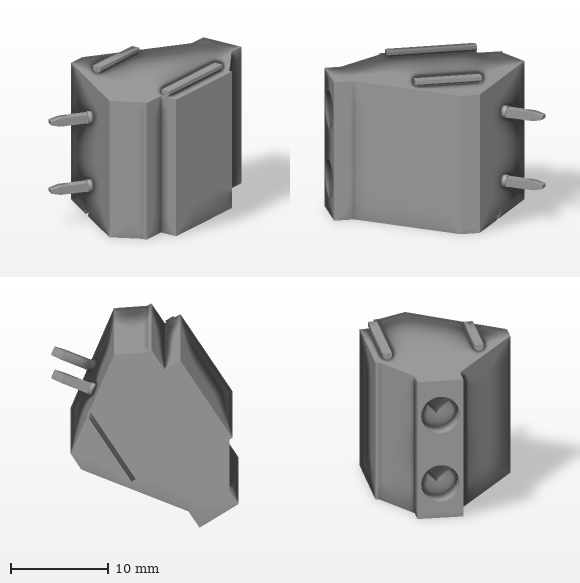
import math

import cadquery as cq


pole_pitch = 7.5
pole_count = 2
housing_height = pole_pitch * pole_count
pole_heights = [pole_pitch * (i + 0.5) for i in range(pole_count)]

slant = 35.0
slant_cos = math.cos(math.radians(slant))
slant_sin = math.sin(math.radians(slant))
housing_top_y = 18.0
wire_face_width = 4.77
wire_neck_left = 2.1
wire_neck_right = 1.73
frame_x = -wire_neck_left * slant_sin
frame_y = housing_top_y - wire_face_width * slant_sin

foot_left = 1.15
foot_right = 12.78
corner_rise = foot_left * slant_cos / slant_sin
screw_face_u = 8.1
screw_face_start_v = -6.38
screw_face_end_v = -16.32
screw_face_lip = 0.35
lower_face_u = 6.22
lower_face_end_v = -18.9
lower_face_lip = 0.5

rail_width = 0.95
rail_neck_width = 0.5
rail_height = 0.74
rail_neck_height = 0.14
rail_taper_height = 0.2
short_rail_u = -2.935
short_rail_start_v = -7.85
short_rail_end_v = -14.8
long_rail_u = 6.775
long_rail_start_v = -6.87
slot_end_v = -18.0

wire_hole_diameter = 4.0
wire_hole_depth = 2.0
clamp_depth = 2.0
clamp_shoulder_height = 1.07

pin_x = 7.3
pin_width = 0.9
pin_length = 4.5
pin_tip_length = 1.0
pin_tip_thickness = 0.4
collar_diameter = 1.3
collar_length = 0.5


def to_part(u, v):
    """Part X, Y of a point given in the slanted frame."""
    x = frame_x + u * slant_cos - v * slant_sin
    y = frame_y + u * slant_sin + v * slant_cos
    return (x, y)


def place(body):
    """Move a body built in the slanted frame to its place in the part."""
    turned = body.rotate((0, 0, 0), (0, 0, 1), slant)
    return turned.translate((frame_x, frame_y, 0))


def make_housing():
    outline = [
        (foot_left, 0),
        (foot_right, 0),
        to_part(lower_face_u - lower_face_lip, lower_face_end_v),
        to_part(lower_face_u, lower_face_end_v),
        to_part(lower_face_u, screw_face_end_v),
        to_part(screw_face_u, screw_face_end_v),
        to_part(screw_face_u, screw_face_start_v),
        to_part(screw_face_u - screw_face_lip, screw_face_start_v),
        to_part(wire_face_width, -wire_neck_right),
        to_part(wire_face_width, 0),
        to_part(0, 0),
        to_part(0, -wire_neck_left),
        (0, corner_rise),
    ]
    return cq.Workplane("XY").polyline(outline).close().extrude(housing_height)


def make_dovetail(u, start_v, end_v, base_z):
    """Dovetail bar, narrow at its base, running from start_v down to end_v."""
    half = rail_width / 2
    half_neck = rail_neck_width / 2
    taper_top = rail_neck_height + rail_taper_height
    profile = [
        (-half_neck, 0),
        (half_neck, 0),
        (half_neck, rail_neck_height),
        (half, taper_top),
        (half, rail_height),
        (-half, rail_height),
        (-half, taper_top),
        (-half_neck, rail_neck_height),
    ]
    bar = (
        cq.Workplane("XZ", origin=(u, start_v, base_z))
        .polyline(profile)
        .close()
        .extrude(start_v - end_v)
    )
    return place(bar)


def make_wire_entry(pole_z):
    """Round wire hole that continues above a V-shaped clamp floor."""
    radius = wire_hole_diameter / 2
    origin = (wire_face_width / 2, 0, pole_z)
    hole = cq.Workplane("XZ", origin=origin).circle(radius).extrude(wire_hole_depth)

    shoulder_half_width = math.sqrt(radius**2 - clamp_shoulder_height**2)
    groove_z = clamp_shoulder_height - shoulder_half_width
    total_depth = wire_hole_depth + clamp_depth
    clamp = (
        cq.Workplane("XZ", origin=origin)
        .moveTo(0, groove_z)
        .lineTo(shoulder_half_width, clamp_shoulder_height)
        .threePointArc((0, radius), (-shoulder_half_width, clamp_shoulder_height))
        .close()
        .extrude(total_depth)
    )
    return place(hole.union(clamp))


def make_pin(pole_z):
    """Square pin with a wedge tip and a round collar at the housing foot."""
    half = pin_width / 2
    half_tip = pin_tip_thickness / 2
    tip_start_y = pin_tip_length - pin_length
    side = [
        (0, -half),
        (0, half),
        (tip_start_y, half),
        (-pin_length, half_tip),
        (-pin_length, -half_tip),
        (tip_start_y, -half),
    ]
    blade = (
        cq.Workplane("YZ", origin=(pin_x, 0, pole_z))
        .polyline(side)
        .close()
        .extrude(half, both=True)
    )
    collar = (
        cq.Workplane("XZ", origin=(pin_x, 0, pole_z))
        .circle(collar_diameter / 2)
        .extrude(collar_length)
    )
    return blade.union(collar)


result = make_housing()

result = result.union(make_dovetail(short_rail_u, short_rail_start_v, short_rail_end_v, housing_height))
result = result.union(make_dovetail(long_rail_u, long_rail_start_v, screw_face_end_v, housing_height))

result = result.cut(make_dovetail(short_rail_u, short_rail_start_v, slot_end_v, 0))

for pole_z in pole_heights:
    result = result.cut(make_wire_entry(pole_z))
    result = result.union(make_pin(pole_z))